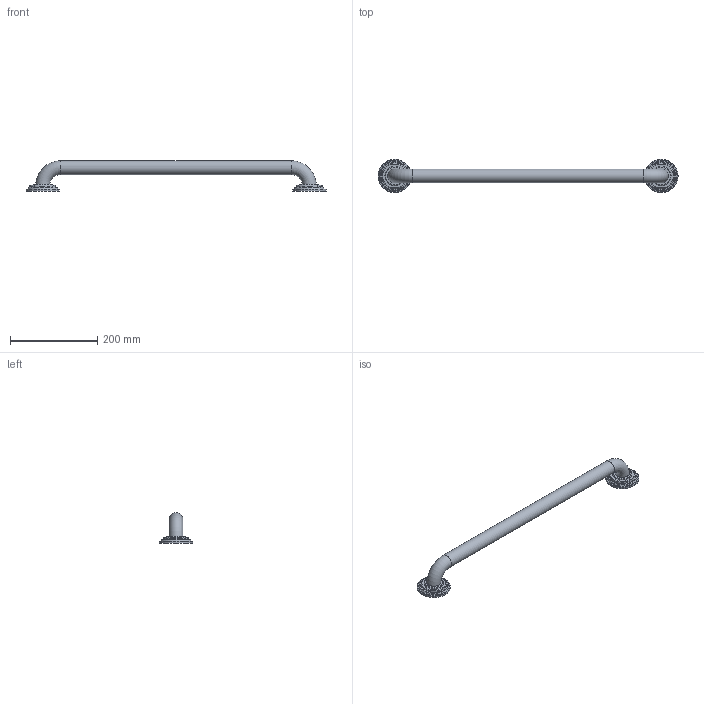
import cadquery as cq

tube_diameter = 31.75
mount_spacing = 609.6
overall_height = 69.85
bend_radius = 41.275

flange_tiers = [
    (38.1, 38.1, 5.2, 1.2),
    (35.0, 33.0, 9.0, 1.5),
    (29.6, 28.8, 13.5, 1.8),
    (22.2, 21.8, 15.875, 1.5),
]

tube_radius = tube_diameter / 2
bar_height = overall_height - tube_radius
half_spacing = mount_spacing / 2


def make_tube():
    """Solid round bar with a bend down to the wall at each end."""
    bend_start_x = half_spacing - bend_radius
    bend_end_z = bar_height - bend_radius
    path = (
        cq.Workplane("XZ")
        .moveTo(-half_spacing, 0)
        .lineTo(-half_spacing, bend_end_z)
        .tangentArcPoint((-bend_start_x, bar_height), relative=False)
        .lineTo(bend_start_x, bar_height)
        .tangentArcPoint((half_spacing, bend_end_z), relative=False)
        .lineTo(half_spacing, 0)
    )
    return cq.Workplane("XY").center(-half_spacing, 0).circle(tube_radius).sweep(path)


def make_tier(bottom_radius, top_radius, bottom, top, rounding):
    """Round tier between two heights with its upper edge rounded."""
    half_section = [(0, bottom), (bottom_radius, bottom), (top_radius, top), (0, top)]
    tier = cq.Workplane("XZ").polyline(half_section).close().revolve(axisStart=(0, 0), axisEnd=(0, 1))
    return tier.faces(">Z").edges().fillet(rounding)


def make_flange(center_x):
    """Round wall flange that steps inward as it rises to the tube."""
    flange = cq.Workplane("XY")
    bottom = 0
    for bottom_radius, top_radius, top, rounding in flange_tiers:
        flange = flange.union(make_tier(bottom_radius, top_radius, bottom, top, rounding))
        bottom = top
    return flange.translate((center_x, 0, 0))


result = make_tube()
for side in (-1, 1):
    result = result.union(make_flange(side * half_spacing))